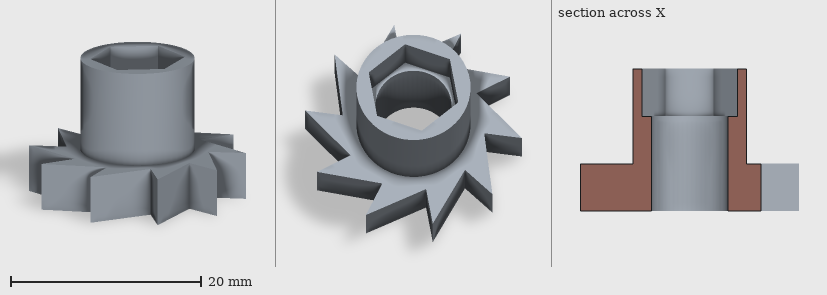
import cadquery as cq
import math

tooth_count = 10
tip_radius = 11.5
root_radius = 7.5
wheel_thickness = 5.0

hub_diameter = 12.0
hub_height = 10.0
total_height = wheel_thickness + hub_height

bore_diameter = 8.0
hex_sides = 6
hex_across_corners = 10.0
hex_depth = 5.0


def polar_point(radius, angle_degrees):
    """Point at a radius and an angle measured from +X."""
    angle = math.radians(angle_degrees)
    return (radius * math.cos(angle), radius * math.sin(angle))


def ratchet_wheel():
    """Disc of saw teeth, each with one radial face and one sloping face."""
    first_tooth_angle = 90.0
    tooth_pitch = 360.0 / tooth_count
    outline = []
    for tooth in range(tooth_count):
        angle = first_tooth_angle - tooth * tooth_pitch
        outline.append(polar_point(tip_radius, angle))
        outline.append(polar_point(root_radius, angle))
    return cq.Workplane("XY").polyline(outline).close().extrude(wheel_thickness)


def hub():
    """Cylinder running the full height of the part."""
    return cq.Workplane("XY").circle(hub_diameter / 2).extrude(total_height)


def bore():
    """Round through hole on the axis."""
    return cq.Workplane("XY").circle(bore_diameter / 2).extrude(total_height)


def hex_socket():
    """Hexagonal pocket in the hub top, with two corners on the Y axis."""
    corner_on_y_angle = 90.0
    return (
        cq.Workplane("XY")
        .workplane(offset=total_height - hex_depth)
        .transformed(rotate=(0, 0, corner_on_y_angle))
        .polygon(hex_sides, hex_across_corners)
        .extrude(hex_depth)
    )


result = ratchet_wheel().union(hub()).cut(bore()).cut(hex_socket())